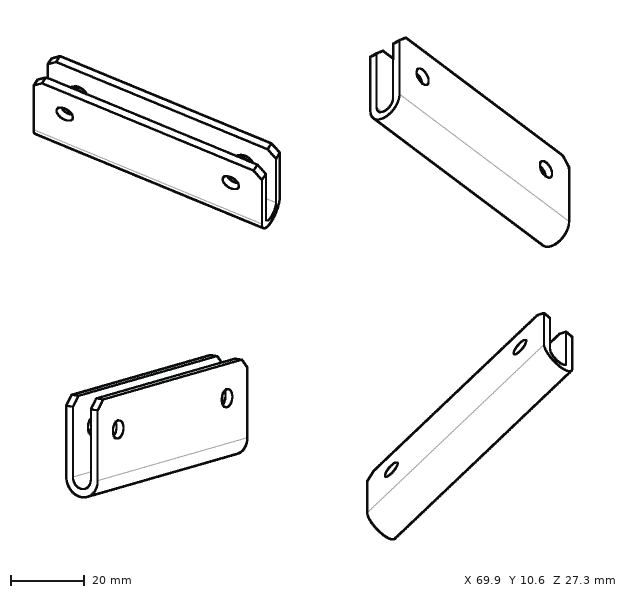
import cadquery as cq

length = 69.85
width = 10.55
height = 27.3
wall = 2.3
corner_chamfer = 2.6
hole_diameter = 4.95
hole_spacing = 50.8
hole_drop = 9.5

outer_radius = width / 2
inner_radius = outer_radius - wall


def rounded_bottom_bar(radius):
    """Full-length bar with a half-round bottom, centred on the bend axis."""
    top = height - outer_radius
    return (
        cq.Workplane("YZ")
        .moveTo(-radius, top)
        .lineTo(-radius, 0)
        .threePointArc((0, -radius), (radius, 0))
        .lineTo(radius, top)
        .close()
        .extrude(length / 2, both=True)
        .translate((0, 0, outer_radius))
    )


body = rounded_bottom_bar(outer_radius)
body = body.faces(">Z").edges("|Y").chamfer(corner_chamfer)

body = body.cut(rounded_bottom_bar(inner_radius))

holes = (
    cq.Workplane("XZ")
    .pushPoints([(side * hole_spacing / 2, height - hole_drop) for side in (-1, 1)])
    .circle(hole_diameter / 2)
    .extrude(width, both=True)
)
result = body.cut(holes)